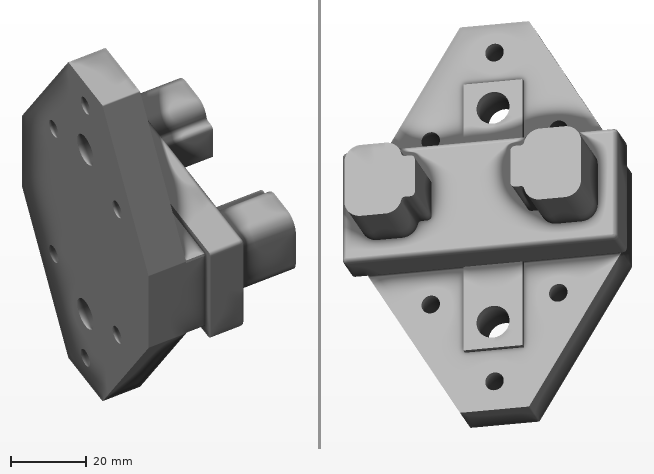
import cadquery as cq

plate_width = 70.0
plate_height = 110.3
plate_thickness = 11.4
plate_end_width = 19.0
plate_side_height = 26.7
plate_corner_radius = 0.4

small_hole_diameter = 5.1
large_hole_diameter = 9.0
end_hole_spacing = 94.1
large_hole_spacing = 61.2
corner_hole_spacing_x = 35.1
corner_hole_spacing_z = 46.8

pad_width = 16.3
pad_height = 76.1
pad_thickness = 1.7

neck_height = 26.9
neck_chamfer_x = 0.3
neck_chamfer_z = 0.5
neck_root_radius = 0.5

flange_width = 75.7
flange_height = 31.7
flange_front = 17.2
flange_back = 27.8
flange_edge_radius = 1.1
flange_back_radius = 1.3

overall_depth = 46.1
post_outer_x = 32.5
post_inner_x = 16.8
post_height = 20.3
post_radius = 4.5
rib_inner_x = 13.1
rib_height = 11.7
rib_root_radius = 1.0
rib_edge_radius = 1.3

selection_margin = 0.01


def block(width, height, front, back, center_x=0):
    """Block centred on Z = 0 that runs from front to back along Y."""
    return cq.Workplane("XY").box(width, back - front, height).translate((center_x, (front + back) / 2, 0))


def through_holes(points, diameter):
    """Cylinders along Y that pass through the plate and the pad."""
    depth = plate_thickness + pad_thickness
    return cq.Workplane("XZ").pushPoints(points).circle(diameter / 2).extrude(-depth)


def octagon(width, height, end_width, side_height):
    """Octagon in the XZ plane with flat ends at the top and bottom and flat sides."""
    half_width = width / 2
    half_height = height / 2
    half_end = end_width / 2
    half_side = side_height / 2
    outline = [
        (half_end, half_height),
        (half_width, half_side),
        (half_width, -half_side),
        (half_end, -half_height),
        (-half_end, -half_height),
        (-half_width, -half_side),
        (-half_width, half_side),
        (-half_end, half_height),
    ]
    return cq.Workplane("XZ").polyline(outline).close()


def make_plate():
    outline = octagon(plate_width, plate_height, plate_end_width, plate_side_height)
    plate = outline.extrude(-plate_thickness)
    return plate.edges("|Y").fillet(plate_corner_radius)


def make_neck():
    end_width = plate_width - 2 * neck_chamfer_x
    side_height = neck_height - 2 * neck_chamfer_z
    outline = octagon(plate_width, neck_height, end_width, side_height)
    return outline.extrude(plate_thickness - flange_front).translate((0, plate_thickness, 0))


def round_neck_root(body):
    """Fillet the corners where the top and bottom of the neck meet the back of the plate."""
    half_height = neck_height / 2
    root_edges = cq.selectors.BoxSelector(
        (-plate_width, plate_thickness - selection_margin, -half_height - selection_margin),
        (plate_width, plate_thickness + selection_margin, half_height + selection_margin),
    )
    return body.edges("|X").edges(root_edges).fillet(neck_root_radius)


def make_flange():
    flange = block(flange_width, flange_height, flange_front, flange_back)
    flange = flange.edges("|Y").fillet(flange_edge_radius)
    return flange.faces(">Y").edges().fillet(flange_back_radius)


def make_post():
    """Post on the +X side, with its rib toward X = 0."""
    body_width = post_outer_x - post_inner_x
    body_x = (post_outer_x + post_inner_x) / 2
    body = block(body_width, post_height, flange_back, overall_depth, body_x)
    body = body.edges("|Y").fillet(post_radius)
    rib_width = body_x - rib_inner_x
    rib = block(rib_width, rib_height, flange_back, overall_depth, rib_inner_x + rib_width / 2)
    rib = rib.edges("|Y and <X").fillet(rib_edge_radius)
    root_corners = cq.selectors.BoxSelector(
        (post_inner_x - rib_root_radius / 2, flange_back, -rib_height),
        (post_inner_x + rib_root_radius / 2, overall_depth, rib_height),
    )
    return body.union(rib).edges("|Y").edges(root_corners).fillet(rib_root_radius)


end_z = end_hole_spacing / 2
large_z = large_hole_spacing / 2
corner_x = corner_hole_spacing_x / 2
corner_z = corner_hole_spacing_z / 2
small_hole_points = [(0, end_z), (0, -end_z)]
small_hole_points += [(x, z) for x in (-corner_x, corner_x) for z in (-corner_z, corner_z)]
large_hole_points = [(0, large_z), (0, -large_z)]

pad = block(pad_width, pad_height, plate_thickness, plate_thickness + pad_thickness)
post = make_post()

result = make_plate().union(pad)
result = result.cut(through_holes(small_hole_points, small_hole_diameter))
result = result.cut(through_holes(large_hole_points, large_hole_diameter))
result = round_neck_root(result.union(make_neck()))
result = result.union(make_flange())
result = result.union(post).union(post.mirror("YZ"))